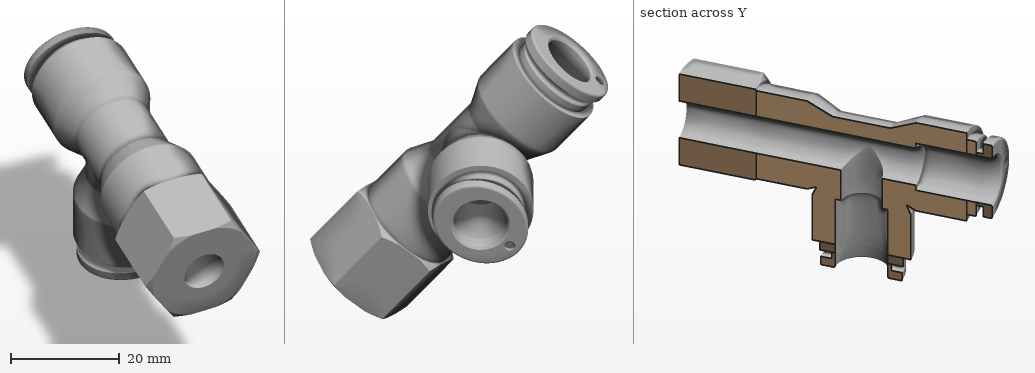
import cadquery as cq
import math


port_reach = 20.6
arm_diameter = 19.4
waist_diameter = 14.8
waist_reach = 5.65
shoulder_reach = 10.7
blend_radius = 1.0

flow_diameter = 8.0
socket_diameter = 10.2

collar_diameter = 16.5
collar_length = 1.85
collar_chamfer = 0.25

neck_diameter = 11.7
neck_length = 1.3
flange_long_diameter = 18.4
flange_short_diameter = 16.1
flange_thickness = 1.9
flange_rounding = 0.4
tube_diameter = 10.15
mouth_chamfer = 0.35
mark_diameter = 2.0
mark_offset = 7.0
mark_depth = 0.8

nut_length = 15.1
nut_across_corners = 23.1
nut_face_diameter = 20.5
nut_chamfer_angle = 30.0

collar_face = port_reach + collar_length
flange_back = collar_face + neck_length
flange_face = flange_back + flange_thickness
nut_face = port_reach + nut_length

TO_MINUS_X = 90
TO_PLUS_X = -90


def rod(diameter, start, end):
    """Cylinder on the -Z axis between two distances from the origin."""
    return cq.Workplane("XY").workplane(offset=-end).circle(diameter / 2).extrude(end - start)


def turned(part, angle):
    return part.rotate((0, 0, 0), (0, 1, 0), angle)


def make_arm(blended_reaches):
    """Solid arm along -Z: a waist, a cone and a wide cylinder, rounded at the given distances."""
    waist_radius = waist_diameter / 2
    arm_radius = arm_diameter / 2
    profile = (
        cq.Workplane("XZ")
        .polyline([
            (0, 0),
            (waist_radius, 0),
            (waist_radius, -waist_reach),
            (arm_radius, -shoulder_reach),
            (arm_radius, -port_reach),
            (0, -port_reach),
        ])
        .close()
    )
    arm = profile.revolve(360, (0, 0, 0), (0, 1, 0))
    for reach in blended_reaches:
        cone_end = cq.selectors.NearestToPointSelector((0, 0, -reach))
        arm = arm.edges("%CIRCLE").edges(cone_end).fillet(blend_radius)
    return arm


def make_tee_body():
    run_arm = make_arm([waist_reach, shoulder_reach])
    branch_arm = make_arm([shoulder_reach])
    socket = rod(socket_diameter, shoulder_reach, port_reach)
    flow = rod(flow_diameter, 0, port_reach)
    body = branch_arm
    for angle in (TO_MINUS_X, TO_PLUS_X):
        body = body.union(turned(run_arm, angle))
    for angle in (0, TO_MINUS_X, TO_PLUS_X):
        body = body.cut(turned(flow, angle))
    for angle in (0, TO_MINUS_X):
        body = body.cut(turned(socket, angle))
    return body


def make_collar(angle):
    collar = rod(collar_diameter, port_reach, collar_face)
    collar = collar.faces("<Z").edges().chamfer(collar_chamfer)
    collar = collar.cut(rod(socket_diameter, port_reach, collar_face))
    return turned(collar, angle)


def make_release_ring(angle):
    flange = (
        cq.Workplane("XY")
        .workplane(offset=-flange_face)
        .ellipse(flange_short_diameter / 2, flange_long_diameter / 2)
        .extrude(flange_thickness)
    )
    flange = flange.faces("<Z").edges().fillet(flange_rounding)
    ring = flange.union(rod(neck_diameter, collar_face, flange_back))
    ring = ring.cut(rod(tube_diameter, collar_face, flange_face))
    ring = ring.faces("<Z").edges("%CIRCLE").chamfer(mouth_chamfer)
    mark = rod(mark_diameter, flange_face - mark_depth, flange_face)
    ring = ring.cut(mark.translate((0, -mark_offset, 0)))
    return turned(ring, angle)


def make_nut():
    """Hex nut on the +X arm, with flats up and down and both ends chamfered."""
    corner_radius = nut_across_corners / 2
    face_radius = nut_face_diameter / 2
    chamfer_length = (corner_radius - face_radius) * math.tan(math.radians(nut_chamfer_angle))
    hexagon = (
        cq.Workplane("YZ")
        .workplane(offset=port_reach)
        .polygon(6, nut_across_corners)
        .extrude(nut_length)
    )
    chamfered_bar = (
        cq.Workplane("XZ")
        .polyline([
            (port_reach, 0),
            (port_reach, face_radius),
            (port_reach + chamfer_length, corner_radius),
            (nut_face - chamfer_length, corner_radius),
            (nut_face, face_radius),
            (nut_face, 0),
        ])
        .close()
        .revolve(360, (0, 0, 0), (1, 0, 0))
    )
    bore = turned(rod(flow_diameter, port_reach, nut_face), TO_PLUS_X)
    return hexagon.intersect(chamfered_bar).cut(bore)


tee_body = make_tee_body()
nut = make_nut()
collars = []
release_rings = []
for port_angle in (0, TO_MINUS_X):
    collars.append(make_collar(port_angle).solids().val())
    release_rings.append(make_release_ring(port_angle).solids().val())

result = cq.Compound.makeCompound([tee_body.solids().val(), nut.solids().val(), *collars, *release_rings])